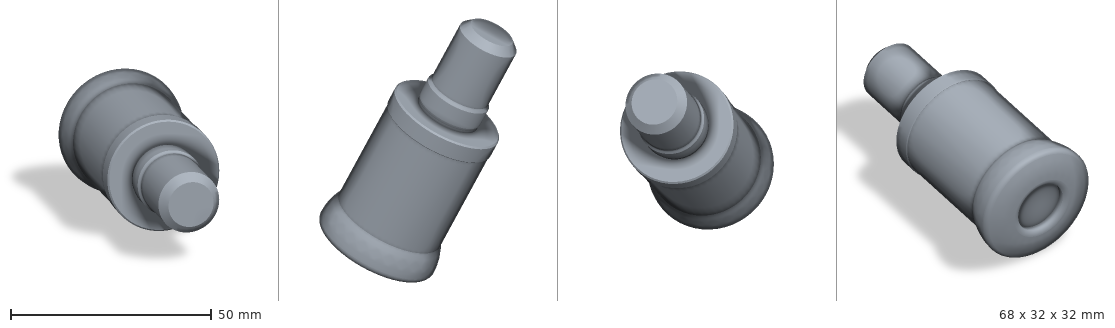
import cadquery as cq

TOTAL_LENGTH = 68.0
FACE_EDGE_X = 1.55
HEAD_CREST_X = 3.05
HEAD_BACK_X = 9.9
FLANGE_FRONT_X = 38.1
FLANGE_BACK_X = 42.8
COLLAR_FRONT_X = 43.5
COLLAR_FULL_X = 44.25
COLLAR_BACK_X = 49.0

HEAD_RADIUS = 32.0 / 2
FACE_EDGE_RADIUS = 15.1
SLEEVE_RADIUS = 28.5 / 2
FLANGE_RADIUS = 29.0 / 2
COLLAR_RADIUS = 17.0 / 2
SHANK_RADIUS = 15.8 / 2
RECESS_RADIUS = 6.8

RECESS_LIP_WIDTH = 1.55
RECESS_LIP_DEPTH = 0.7
RECESS_DEPTH = 2.2
FLANGE_FRONT_CHAMFER = 0.2
FLANGE_BACK_CHAMFER = 0.4
COLLAR_FRONT_CHAMFER = 0.2
SHANK_CHAMFER = 2.05
COLLAR_BACK_TAPER = 0.95


def revolve_about_x(profile):
    """Turn a closed half profile (X, radius) around the X axis."""
    return profile.close().revolve(360, (0, 0, 0), (1, 0, 0))


def make_sleeve():
    """Cylindrical sleeve with a domed, flared head and a round front recess."""
    lip_radius = RECESS_RADIUS + RECESS_LIP_WIDTH
    lip_arc_radius = (RECESS_LIP_WIDTH**2 + RECESS_LIP_DEPTH**2) / (2 * RECESS_LIP_DEPTH)
    return revolve_about_x(
        cq.Workplane("XY")
        .moveTo(RECESS_DEPTH, 0)
        .lineTo(RECESS_DEPTH, RECESS_RADIUS)
        .lineTo(RECESS_LIP_DEPTH, RECESS_RADIUS)
        .radiusArc((0, lip_radius), lip_arc_radius)
        .tangentArcPoint((FACE_EDGE_X, FACE_EDGE_RADIUS), relative=False)
        .tangentArcPoint((HEAD_CREST_X, HEAD_RADIUS), relative=False)
        .tangentArcPoint((HEAD_BACK_X, SLEEVE_RADIUS), relative=False)
        .lineTo(FLANGE_FRONT_X, SLEEVE_RADIUS)
        .lineTo(FLANGE_FRONT_X, 0)
    )


def make_base():
    """Round flange with a collar and a chamfered shank behind it."""
    neck_radius = COLLAR_RADIUS - COLLAR_FRONT_CHAMFER
    return revolve_about_x(
        cq.Workplane("XY")
        .moveTo(FLANGE_FRONT_X, 0)
        .lineTo(FLANGE_FRONT_X, FLANGE_RADIUS - FLANGE_FRONT_CHAMFER)
        .lineTo(FLANGE_FRONT_X + FLANGE_FRONT_CHAMFER, FLANGE_RADIUS)
        .lineTo(FLANGE_BACK_X - FLANGE_BACK_CHAMFER, FLANGE_RADIUS)
        .lineTo(FLANGE_BACK_X, FLANGE_RADIUS - FLANGE_BACK_CHAMFER)
        .lineTo(FLANGE_BACK_X, neck_radius)
        .lineTo(COLLAR_FRONT_X, neck_radius)
        .lineTo(COLLAR_FULL_X, COLLAR_RADIUS)
        .lineTo(COLLAR_BACK_X, COLLAR_RADIUS)
        .lineTo(COLLAR_BACK_X + COLLAR_BACK_TAPER, SHANK_RADIUS)
        .lineTo(TOTAL_LENGTH - SHANK_CHAMFER, SHANK_RADIUS)
        .lineTo(TOTAL_LENGTH, SHANK_RADIUS - SHANK_CHAMFER)
        .lineTo(TOTAL_LENGTH, 0)
    )


sleeve = make_sleeve()
base = make_base()

result = cq.Compound.makeCompound([sleeve.val(), base.val()])